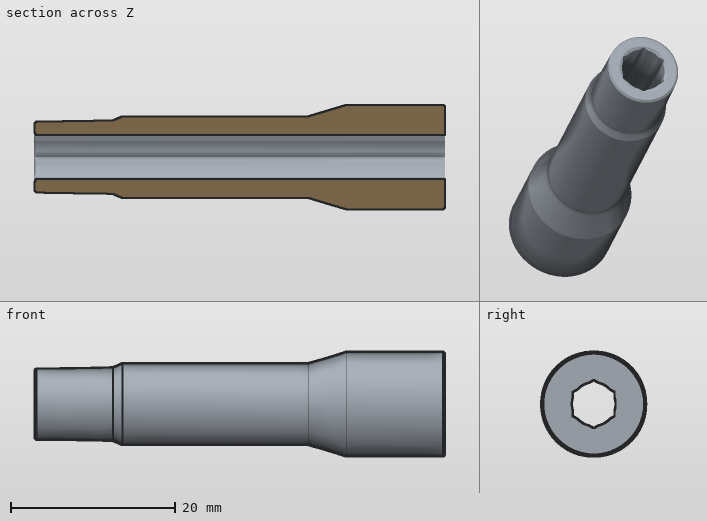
import cadquery as cq
import math

length = 50.0
nose_tip_radius = 4.35
nose_base_radius = 4.5
shank_radius = 5.0
head_radius = 6.4

shoulder_start = 9.55
shoulder_end = 10.7
flare_start = 33.35
flare_end = 38.0

edge_chamfer = 0.25

hex_across_flats = 5.05
relief_diameter = 5.3
mouth_radius = 3.0
mouth_depth = 0.3


def make_body():
    """Turned outline revolved about X."""
    profile = [
        (0, 0),
        (0, nose_tip_radius - edge_chamfer),
        (edge_chamfer, nose_tip_radius),
        (shoulder_start, nose_base_radius),
        (shoulder_end, shank_radius),
        (flare_start, shank_radius),
        (flare_end, head_radius),
        (length - edge_chamfer, head_radius),
        (length, head_radius - edge_chamfer),
        (length, 0),
    ]
    outline = cq.Workplane("XY").polyline(profile).close()
    return outline.revolve(360, (0, 0, 0), (1, 0, 0))


def make_bore():
    """Full-length hexagon with a corner along +Z, joined with the round relief."""
    across_corners = hex_across_flats / math.cos(math.pi / 6)
    hexagon = cq.Workplane("YZ").polygon(6, across_corners).extrude(length)
    hexagon = hexagon.rotate((0, 0, 0), (1, 0, 0), 90)
    relief = cq.Workplane("YZ").circle(relief_diameter / 2).extrude(length)
    return hexagon.union(relief)


def make_mouth():
    """Conical lead-in at the nose face."""
    inner_radius = hex_across_flats / 2
    profile = [(0, 0), (0, mouth_radius), (mouth_depth, inner_radius), (mouth_depth, 0)]
    outline = cq.Workplane("XY").polyline(profile).close()
    return outline.revolve(360, (0, 0, 0), (1, 0, 0))


result = make_body().cut(make_bore()).cut(make_mouth())